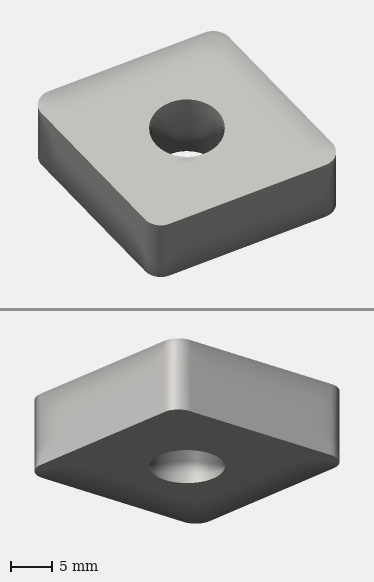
import cadquery as cq
import math

length = 29.35
width = 25.4
thickness = 9.55
hole_diameter = 9.13
acute_angle = math.radians(80.0)

side = width / math.sin(acute_angle)
lean = width / math.tan(acute_angle)

shortening = 1 / math.tan(acute_angle / 2) - 1
corner_radius = (side + lean - length) / (2 * shortening)

corners = [
    (-(side + lean) / 2, -width / 2),
    ((side - lean) / 2, -width / 2),
    ((side + lean) / 2, width / 2),
    (-(side - lean) / 2, width / 2),
]

body = (
    cq.Workplane("XY")
    .polyline(corners)
    .close()
    .extrude(thickness / 2, both=True)
    .edges("|Z")
    .fillet(corner_radius)
)

result = body.faces(">Z").workplane(origin=(0, 0, 0)).hole(hole_diameter)